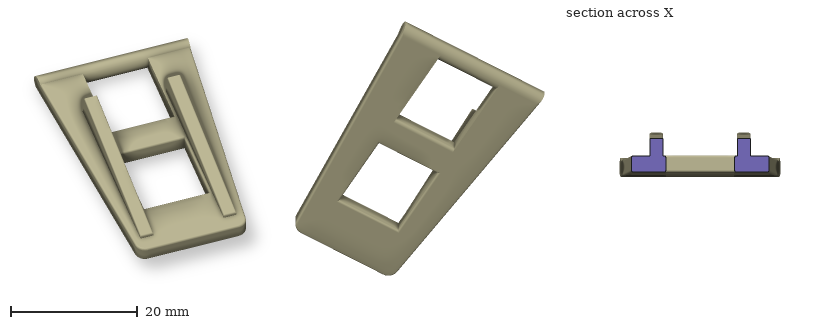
import cadquery as cq
import math

tilt = 2.37

barrel_radius = 1.5

plate_thickness = 2.6
plate_bottom = -barrel_radius
plate_top = plate_bottom + plate_thickness
plate_length = 40.425
end_draft = 5.0
half_width_at_axis = 12.594
side_taper = 5.0
corner_radius = 1.7
edge_radius = 0.3

opening_half_width = 5.4
rear_opening_end = 14.2
bridge_edge_radius = 0.5
front_opening_start = 19.35
front_opening_end = 31.85

rib_inner_y = 5.85
rib_width = 2.15
rib_foot_x = 8.75
rib_peak_x = 9.72
rib_peak_z = 5.1
rib_end_x = 37.9
rib_end_z = 1.66
rib_edge_radius = 0.25

clearance = 5.0
rib_root = 0.5


def half_width(x):
    """Half of the plate width at distance x from the barrel axis."""
    return half_width_at_axis - x * math.tan(math.radians(side_taper))


def tapered_blank(height):
    """Tapered block on the underside plane, with a drafted end and rounded end corners and lower rim."""
    start = -clearance
    past_end = plate_length + clearance
    top = plate_bottom + height
    draft = math.tan(math.radians(end_draft))
    profile = (
        cq.Workplane("XZ")
        .polyline([
            (start, plate_bottom),
            (plate_length - plate_thickness * draft, plate_bottom),
            (plate_length + (height - plate_thickness) * draft, top),
            (start, top),
        ])
        .close()
        .extrude(2 * half_width_at_axis, both=True)
    )
    outline = (
        cq.Workplane("XY", origin=(0, 0, plate_bottom))
        .polyline([
            (start, -half_width(start)),
            (past_end, -half_width(past_end)),
            (past_end, half_width(past_end)),
            (start, half_width(start)),
        ])
        .close()
        .extrude(height)
    )
    blank = profile.intersect(outline)
    blank = blank.faces(">X").edges("not(|Y)").fillet(corner_radius)
    return blank.faces("<Z").edges("not(<X)").fillet(edge_radius)


def make_barrel():
    """Round bar whose ends follow the tapered sides and the rounded lower rim of the plate."""
    bar = (
        cq.Workplane("XZ")
        .circle(barrel_radius)
        .extrude(half_width(-clearance), both=True)
    )
    return bar.intersect(tapered_blank(2 * barrel_radius))


def opening(x_start, x_end):
    """Rectangular cutter through the plate, centred across its width."""
    return (
        cq.Workplane("XY", origin=(0, 0, plate_bottom - clearance))
        .center((x_start + x_end) / 2, 0)
        .rect(x_end - x_start, 2 * opening_half_width)
        .extrude(plate_thickness + 2 * clearance)
    )


def rim(x_start, x_end, y_limit, z):
    """Selector for edges at height z whose centres lie inside the given rectangle."""
    margin = edge_radius / 2
    return cq.selectors.BoxSelector(
        (x_start - margin, -y_limit - margin, z - margin),
        (x_end + margin, y_limit + margin, z + margin),
    )


def make_plate():
    """Tapered plate with rounded rim and two openings, rounded above and below."""
    plate = tapered_blank(plate_thickness)
    plate = plate.faces(">Z").edges("not(<X)").fillet(edge_radius)
    behind_axis = (
        cq.Workplane("XY")
        .box(2 * clearance, 4 * half_width_at_axis, 4 * plate_thickness)
        .translate((-clearance, 0, 0))
    )
    plate = plate.cut(behind_axis)
    plate = plate.cut(opening(0, rear_opening_end))
    for face_z in (plate_top, plate_bottom):
        bridge_rim = rim(rear_opening_end, rear_opening_end, 0, face_z)
        plate = plate.edges(bridge_rim).fillet(bridge_edge_radius)
    plate = plate.cut(opening(front_opening_start, front_opening_end))
    for face_z in (plate_top, plate_bottom):
        opening_rim = rim(front_opening_start, front_opening_end, opening_half_width, face_z)
        plate = plate.edges(opening_rim).fillet(edge_radius)
    return plate


def make_rib(inner_y):
    """Wedge rib, tallest at its leaning rear face, with rounded upper edges."""
    lean = (rib_peak_x - rib_foot_x) / (rib_peak_z - plate_top)
    root_z = plate_top - rib_root
    rib = (
        cq.Workplane("XZ", origin=(0, inner_y, 0))
        .polyline([
            (rib_foot_x - rib_root * lean, root_z),
            (rib_peak_x, rib_peak_z),
            (rib_end_x, rib_end_z),
            (rib_end_x, root_z),
        ])
        .close()
        .extrude(-rib_width)
    )
    return rib.faces(">Z").edges("not(<X)").fillet(rib_edge_radius)


body = make_plate().union(make_barrel())
for rib_start in (rib_inner_y, -rib_inner_y - rib_width):
    body = body.union(make_rib(rib_start))

result = body.rotate((0, 0, 0), (0, 1, 0), -tilt)